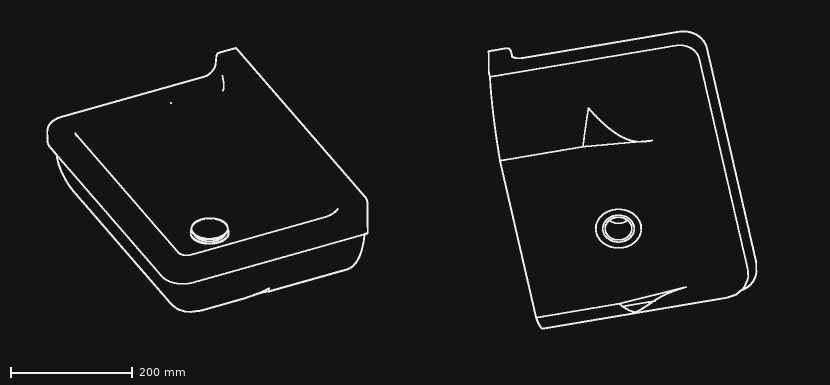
import cadquery as cq
import math


overall_width = 500.5
depth = 360.0
lean_angle = 0.77

rim_bottom = 149.5
rim_top = 180.5
backsplash_top = 220.0
backsplash_thickness = 36.0
backsplash_slope = 6.0
cove_radius = 20.0
rim_corner_radius = 40.0
outer_edge_radius = 7.5
under_edge_radius = 5.0
opening_edge_radius = 7.5

shell_bottom = 20.0
shell_arc_x = 58.5
shell_arc_z = 175.5
shell_arc_radius = 183.0
front_arc_y = -233.5
front_arc_z = 132.0
front_arc_radius = 114.0
shell_corner_radius = 31.5

floor_level = 51.0
floor_half_width = 33.0
bowl_arc_radius = 185.5
bowl_back = 124.5
bowl_front = 319.5
bowl_front_slope = 4.5
bowl_edge_radius = 14.0
ledge_level = 172.5
ledge_edge_radius = 6.5
ledge_corner_radius = 4.0

drain_y = -169.0
outlet_diameter = 75.0
outlet_fillet = 6.0
flange_diameter = 63.0
flange_seat_depth = 3.0
flange_rise = 1.5
tube_diameter = 52.0
tube_bore = 44.0
plug_diameter = 60.0
plug_neck_diameter = tube_diameter
plug_neck_height = 6.5
plug_edge_thickness = 1.5
plug_dome_height = 5.0

lean = math.radians(lean_angle)
flat_side_height = (backsplash_top - outer_edge_radius) - (rim_bottom + under_edge_radius)
rim_width = (overall_width - flat_side_height * math.sin(lean)) / math.cos(lean)

flange_top = floor_level + flange_rise

open_top = backsplash_top + 10.0

edge_gap = 0.5


def fillet_edges(body, radius, wanted):
    """Round the edges whose bounding box passes the test; edges in the wall face stay sharp."""
    edges = []
    for edge in body.edges().vals():
        box = edge.BoundingBox()
        if box.ymin < -edge_gap and wanted(box):
            edges.append(edge)
    return body.newObject(edges).fillet(radius)


def backsplash_face_y(z):
    """Y of the sloped front face of the backsplash at height z."""
    return -backsplash_thickness - (backsplash_top - z) * math.tan(math.radians(backsplash_slope))


def bowl_front_y(z):
    """Y of the sloped front wall of the bowl at height z."""
    return -bowl_front + (rim_top - z) * math.tan(math.radians(bowl_front_slope))


def full_width_prism(points):
    """Block as wide as the rim with the given Y-Z outline."""
    return cq.Workplane("YZ", origin=(-rim_width / 2, 0, 0)).polyline(points).close().extrude(rim_width)


def drain_disc(diameter, bottom, top):
    """Upright cylinder on the drain axis."""
    return cq.Workplane("XY", origin=(0, drain_y, bottom)).circle(diameter / 2).extrude(top - bottom)


def make_rim():
    """Rim slab with the backsplash rising at the wall, joined by a cove."""
    slope = math.radians(backsplash_slope)
    cove_z = rim_top + cove_radius
    cove_y = backsplash_face_y(cove_z) - cove_radius / math.cos(slope)

    def cove_point(angle):
        return cove_y + cove_radius * math.cos(angle), cove_z + cove_radius * math.sin(angle)

    cove_start = -slope
    cove_end = -math.pi / 2
    rim = (
        cq.Workplane("YZ", origin=(-rim_width / 2, 0, 0))
        .moveTo(0, rim_bottom)
        .lineTo(0, backsplash_top)
        .lineTo(-backsplash_thickness, backsplash_top)
        .lineTo(*cove_point(cove_start))
        .threePointArc(cove_point((cove_start + cove_end) / 2), cove_point(cove_end))
        .lineTo(-depth, rim_top)
        .lineTo(-depth, rim_bottom)
        .close()
        .extrude(rim_width)
    )
    rim = rim.edges("<Y and |Z").fillet(rim_corner_radius)
    return fillet_edges(rim, under_edge_radius, lambda box: box.zmax < rim_bottom + edge_gap)


def arc_angle(z, arc_z, radius):
    """Angle of the point at height z on an arc whose centre is at height arc_z."""
    return math.asin((z - arc_z) / radius)


def make_shell():
    """Solid outer shell under the rim: one arc down each side and one down the front."""
    side_top = arc_angle(rim_bottom, shell_arc_z, shell_arc_radius)
    side_bottom = arc_angle(shell_bottom, shell_arc_z, shell_arc_radius)
    side_middle = (side_top + side_bottom) / 2

    def side_point(angle, side):
        x = shell_arc_x + shell_arc_radius * math.cos(angle)
        return side * x, shell_arc_z + shell_arc_radius * math.sin(angle)

    across = (
        cq.Workplane("XZ")
        .moveTo(*side_point(side_bottom, -1))
        .lineTo(*side_point(side_bottom, 1))
        .threePointArc(side_point(side_middle, 1), side_point(side_top, 1))
        .lineTo(*side_point(side_top, -1))
        .threePointArc(side_point(side_middle, -1), side_point(side_bottom, -1))
        .close()
        .extrude(depth)
    )

    front_top = arc_angle(rim_bottom, front_arc_z, front_arc_radius)
    front_bottom = arc_angle(shell_bottom, front_arc_z, front_arc_radius)

    def front_point(angle):
        y = front_arc_y - front_arc_radius * math.cos(angle)
        return y, front_arc_z + front_arc_radius * math.sin(angle)

    lengthwise = (
        cq.Workplane("YZ", origin=(-rim_width / 2, 0, 0))
        .moveTo(0, shell_bottom)
        .lineTo(*front_point(front_bottom))
        .threePointArc(front_point((front_top + front_bottom) / 2), front_point(front_top))
        .lineTo(0, rim_bottom)
        .close()
        .extrude(rim_width)
    )
    return fillet_edges(
        across.intersect(lengthwise),
        shell_corner_radius,
        lambda box: box.ymax < front_arc_y and box.zmax - box.zmin > edge_gap,
    )


def make_trough():
    """Space of the bowl carried back to the wall: flat floor, one arc up each side, sloped front."""
    arc_z = floor_level + bowl_arc_radius
    top_angle = math.asin((open_top - arc_z) / bowl_arc_radius)

    def side_point(angle, side):
        x = floor_half_width + bowl_arc_radius * math.cos(angle)
        return side * x, arc_z + bowl_arc_radius * math.sin(angle)

    middle_angle = (top_angle - math.pi / 2) / 2
    trough = (
        cq.Workplane("XZ")
        .moveTo(-floor_half_width, floor_level)
        .lineTo(floor_half_width, floor_level)
        .threePointArc(side_point(middle_angle, 1), side_point(top_angle, 1))
        .lineTo(*side_point(top_angle, -1))
        .threePointArc(side_point(middle_angle, -1), (-floor_half_width, floor_level))
        .close()
        .extrude(depth)
    )
    trough = trough.intersect(full_width_prism([
        (0, floor_level),
        (0, open_top),
        (bowl_front_y(open_top), open_top),
        (bowl_front_y(floor_level), floor_level),
    ]))
    return fillet_edges(
        trough,
        bowl_edge_radius,
        lambda box: box.ymax < bowl_front_y(floor_level) + edge_gap and box.zmin < open_top - edge_gap,
    )


def make_ledge(trough):
    """Material that fills the back of the trough up to the ledge, with the bowl's back wall."""
    fill_front = -bowl_back - 2 * bowl_edge_radius
    bowl = trough.intersect(full_width_prism([
        (-bowl_back, floor_level),
        (-bowl_back, open_top),
        (-depth, open_top),
        (-depth, floor_level),
    ]))
    bowl = fillet_edges(
        bowl,
        bowl_edge_radius,
        lambda box: box.ymin > -bowl_back - edge_gap and box.zmin < open_top - edge_gap,
    )

    above = trough.intersect(full_width_prism([
        (backsplash_face_y(ledge_level), ledge_level),
        (backsplash_face_y(open_top), open_top),
        (fill_front, open_top),
        (fill_front, ledge_level),
    ]))
    above = fillet_edges(
        above,
        ledge_corner_radius,
        lambda box: box.zmax < ledge_level + edge_gap and box.ymax > fill_front + edge_gap,
    )

    space = fillet_edges(
        bowl.union(above),
        ledge_edge_radius,
        lambda box: abs(box.zmax - ledge_level) < edge_gap
        and abs(box.ymin + bowl_back) < edge_gap
        and abs(box.ymax + bowl_back) < edge_gap,
    )
    fill = trough.intersect(full_width_prism([
        (0, floor_level),
        (0, rim_top),
        (fill_front, rim_top),
        (fill_front, floor_level),
    ]))
    return fill.cut(space)


def make_backsplash_face():
    """Backsplash across the full width, closing the back end of the trough."""
    return full_width_prism([
        (0, ledge_level),
        (0, backsplash_top),
        (-backsplash_thickness, backsplash_top),
        (backsplash_face_y(ledge_level), ledge_level),
    ])


def add_drain_outlet(basin):
    """Outlet stub under the shell and the stepped hole for the drain fitting."""
    basin = basin.union(drain_disc(outlet_diameter, 0, shell_bottom + edge_gap))
    basin = fillet_edges(
        basin,
        outlet_fillet,
        lambda box: abs(box.zmin - shell_bottom) < edge_gap
        and abs(box.zmax - shell_bottom) < edge_gap
        and abs(box.xmax - outlet_diameter / 2) < edge_gap,
    )
    basin = basin.cut(drain_disc(tube_diameter, 0, floor_level))
    return basin.cut(drain_disc(flange_diameter, floor_level - flange_seat_depth, floor_level))


def make_basin():
    trough = make_trough()
    basin = make_rim().union(make_shell()).cut(trough)
    basin = fillet_edges(
        basin,
        opening_edge_radius,
        lambda box: box.zmin > rim_top - edge_gap
        and abs(box.ymin + bowl_front) < edge_gap
        and abs(box.ymax + bowl_front) < edge_gap,
    )
    basin = basin.union(make_backsplash_face()).union(make_ledge(trough))
    basin = fillet_edges(
        basin,
        outer_edge_radius,
        lambda box: box.zmin > backsplash_top - edge_gap
        or (box.zmin > rim_top - edge_gap and box.ymax < -depth + edge_gap),
    )
    return add_drain_outlet(basin)


def make_drain_fitting():
    """Flanged tube, its flange seated in the bowl floor and standing slightly proud of it."""
    tube = drain_disc(tube_diameter, 0, flange_top)
    flange = drain_disc(flange_diameter, floor_level - flange_seat_depth, flange_top)
    return tube.union(flange).cut(drain_disc(tube_bore, 0, flange_top))


def make_drain_plug():
    """Mushroom plug: a neck standing on the fitting under a wider domed cap."""
    neck_radius = plug_neck_diameter / 2
    cap_radius = plug_diameter / 2
    cap_bottom = plug_neck_height
    cap_edge = cap_bottom + plug_edge_thickness
    apex = cap_edge + plug_dome_height
    dome_radius = (cap_radius**2 + plug_dome_height**2) / (2 * plug_dome_height)
    mid_x = cap_radius / 2
    mid_z = apex - dome_radius + math.sqrt(dome_radius**2 - mid_x**2)
    return (
        cq.Workplane("XZ", origin=(0, drain_y, flange_top))
        .lineTo(neck_radius, 0)
        .lineTo(neck_radius, cap_bottom)
        .lineTo(cap_radius, cap_bottom)
        .lineTo(cap_radius, cap_edge)
        .threePointArc((mid_x, mid_z), (0, apex))
        .close()
        .revolve(360, (0, 0, 0), (0, 1, 0))
    )


def lean_over(body):
    """Lean a body sideways so that its +X side rises."""
    return body.rotate((0, 0, 0), (0, 1, 0), -lean_angle).val()


basin = make_basin()
drain_fitting = make_drain_fitting()
drain_plug = make_drain_plug()

result = cq.Compound.makeCompound([
    lean_over(basin),
    lean_over(drain_fitting),
    lean_over(drain_plug),
])